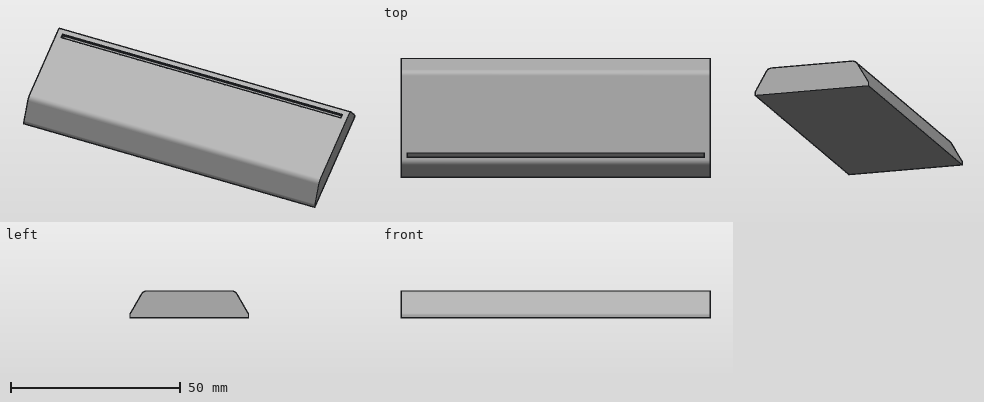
import cadquery as cq
import math

LENGTH = 91.0
WIDTH = 35.0
HEIGHT = 8.0

SLOPE_ANGLE = math.radians(60)
FOOT_HEIGHT = 1.1
TOP_RADIUS = 2.0
FOOT_RADIUS = 1.0

SLOT_END_MARGIN = 1.7
SLOT_OPENING = 1.4
SLOT_FRONT_OFFSET = 5.8
SLOT_DEPTH = 2.7
RIM_BEVEL = 0.2


def make_body():
    """Bar with a trapezoidal section on short upright feet, rounded along its length."""
    half_width = WIDTH / 2
    half_top = half_width - (HEIGHT - FOOT_HEIGHT) / math.tan(SLOPE_ANGLE)
    section = [
        (-half_width, 0),
        (half_width, 0),
        (half_width, FOOT_HEIGHT),
        (half_top, HEIGHT),
        (-half_top, HEIGHT),
        (-half_width, FOOT_HEIGHT),
    ]
    body = cq.Workplane("YZ").polyline(section).close().extrude(LENGTH / 2, both=True)
    body = body.faces(">Z").edges("|X").fillet(TOP_RADIUS)
    foot_edges = body.edges(cq.selectors.BoxSelector(
        (-LENGTH, -WIDTH, FOOT_HEIGHT / 2),
        (LENGTH, WIDTH, HEIGHT / 2),
    )).edges("|X")
    return foot_edges.fillet(FOOT_RADIUS)


def slot_prism(section, half_length):
    """Extrude a YZ section equally to both sides of the middle."""
    return cq.Workplane("YZ").polyline(section).close().extrude(half_length, both=True)


def make_slot():
    """Cutter for the leaning slot, with a bevelled rim and a floor square to its walls."""
    rim_length = LENGTH - 2 * SLOT_END_MARGIN
    center_y = -WIDTH / 2 + SLOT_FRONT_OFFSET + SLOT_OPENING / 2
    throat_length = rim_length - 2 * RIM_BEVEL
    throat = SLOT_OPENING - 2 * RIM_BEVEL
    throat_z = HEIGHT - RIM_BEVEL
    rim = (
        cq.Workplane("XY", origin=(0, center_y, HEIGHT))
        .rect(rim_length, SLOT_OPENING)
        .workplane(offset=-RIM_BEVEL)
        .rect(throat_length, throat)
        .loft(ruled=True)
    )

    front = center_y - throat / 2
    rear = center_y + throat / 2
    floor_rear_y = rear - SLOT_DEPTH / math.tan(SLOPE_ANGLE)
    floor_rear_z = throat_z - SLOT_DEPTH
    floor_width = throat * math.sin(SLOPE_ANGLE)
    section = [
        (front, throat_z),
        (rear, throat_z),
        (floor_rear_y, floor_rear_z),
        (
            floor_rear_y - floor_width * math.sin(SLOPE_ANGLE),
            floor_rear_z + floor_width * math.cos(SLOPE_ANGLE),
        ),
    ]
    return rim.union(slot_prism(section, throat_length / 2))


result = make_body().cut(make_slot())